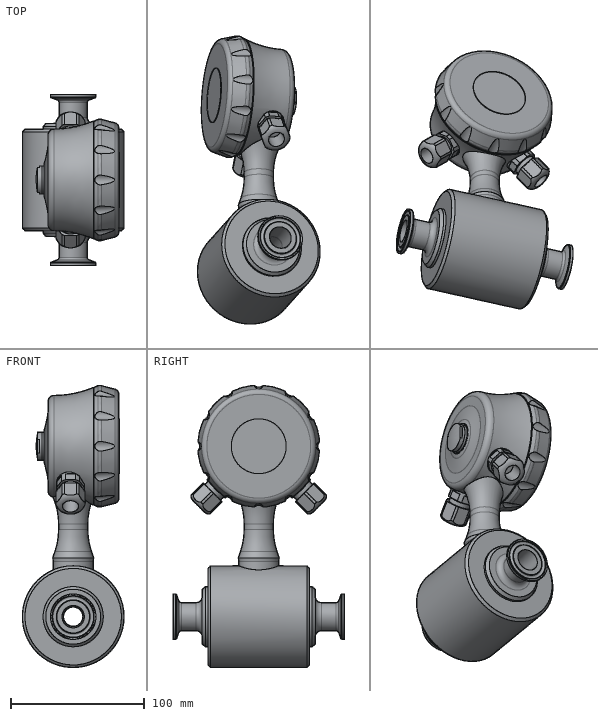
import math

import cadquery as cq

BODY_RADIUS = 76.1 / 2
BODY_HALF_LENGTH = 38.0
BODY_CHAMFER = 2.0
FLANGE_RADIUS = 45.0 / 2
FLANGE_END = 42.3
FLANGE_CHAMFER = 2.0
FLANGE_CHAMFER_LENGTH = 2.5
PIPE_RADIUS = 21.2 / 2
PIPE_ROOT_FILLET = 4.4
FERRULE_RADIUS = 34.0 / 2
FERRULE_END = 64.0
FERRULE_RIM = 2.5
FERRULE_RIM_CHAMFER = 0.5
FERRULE_BACK_ANGLE = 20.0
FERRULE_ROOT_FILLET = 2.0
GASKET_GROOVE_CENTRE = 13.95
GASKET_GROOVE_RADIUS = 1.4
GASKET_GROOVE_LIP = 0.35
BORE_RADIUS = 14.3 / 2
BORE_MOUTH_RADIUS = 16.69 / 2
BORE_MOUTH_LENGTH = 22.0

NECK_BASE_RADIUS = 30.0 / 2
NECK_WAIST_RADIUS = 11.0
NECK_FLARE_RADIUS = 50.0
NECK_BASE_TOP = 41.4
NECK_CONE_BOTTOM = 44.0
NECK_CONE_TOP = 48.6
NECK_WAIST_BOTTOM = 65.0
NECK_WAIST_TOP = 69.3
NECK_TOP = 92.0

HEAD_HEIGHT = 127.3
CASE_BACK = -18.8
CASE_RADIUS = 76.1 / 2
CASE_BACK_FILLET = 4.6
CASE_RIM_X = 15.0
CASE_RIM_RADIUS = 44.0
BACK_DISH_OUTER_RADIUS = 26.0
BACK_DISH_INNER_RADIUS = 30.0 / 2
BACK_DISH_INNER_X = -20.9
BACK_DISH_MID_RADIUS = 20.6
BACK_DISH_MID_X = -19.65
BACK_HUB_X = -21.9
PLUG_SEAT_RADIUS = 23.5 / 2
PLUG_SEAT_X = -21.0
PLUG_RADIUS = 21.2 / 2
PLUG_SHANK_RADIUS = 21.0 / 2
PLUG_SHANK_X = -23.2
PLUG_END = -26.5
PLUG_TIP = -27.75
PLUG_FLATS = 18.7
PLUG_FLATS_X = -25.2

SEAM_WIDTH = 0.6
SEAM_DEPTH = 0.4
LID_CREST_START = 18.5
LID_CREST_END = 21.3
LID_CREST_RADIUS = 45.66
LID_SHOULDER_RADIUS = 45.4
LID_TAPER_END = 31.2
LID_TAPER_END_RADIUS = 42.7
LID_FACE = 34.2
LID_PAD_RADIUS = 20.5
LID_PAD_FACE = 34.7

SCALLOP_COUNT = 12
SCALLOP_RADIUS = 4.9
SCALLOP_START = 16.8
SCALLOP_START_RADIUS = 44.2
SCALLOP_END_RADIUS = 42.75
SCALLOP_OVERRUN = 5.0

GLAND_X = -2.0
GLAND_TILT = 45.0
GLAND_START = 30.0
GLAND_HEX_START = 39.1
GLAND_HEX_END = 45.0
GLAND_NUT_START = 48.7
GLAND_NUT_END = 63.5
GLAND_BASE_RADIUS = 20.8 / 2
GLAND_BASE_FLATS = 19.5
GLAND_COLLAR_RADIUS = 16.69 / 2
GLAND_NUT_RADIUS = 22.0 / 2
GLAND_NUT_FLATS = 20.0
GLAND_NUT_CROWN_RADIUS = 5.4
GLAND_HOLE_RADIUS = 12.0 / 2


def tube_end():
    """Flange, pipe stub and ferrule at the +Y end, as one turned shape about the Y axis."""
    rim_back = FERRULE_END - FERRULE_RIM
    back_slope = math.tan(math.radians(FERRULE_BACK_ANGLE))
    back_foot = rim_back - (FERRULE_RADIUS - PIPE_RADIUS) * back_slope
    turn = math.radians(90 - FERRULE_BACK_ANGLE)
    root_tangent = FERRULE_ROOT_FILLET * math.tan(turn / 2)
    root_mid_radius = PIPE_RADIUS + FERRULE_ROOT_FILLET * (1 - math.cos(turn / 2))
    root_mid_y = back_foot - root_tangent + FERRULE_ROOT_FILLET * math.sin(turn / 2)
    root_top_radius = PIPE_RADIUS + root_tangent * math.sin(turn)
    root_top_y = back_foot + root_tangent * math.cos(turn)

    pipe_fillet_drop = PIPE_ROOT_FILLET * (1 - math.sqrt(0.5))
    groove_inner = GASKET_GROOVE_CENTRE - GASKET_GROOVE_RADIUS
    groove_outer = GASKET_GROOVE_CENTRE + GASKET_GROOVE_RADIUS
    groove_top = FERRULE_END - GASKET_GROOVE_LIP
    return (
        cq.Workplane("XY")
        .moveTo(0, BODY_HALF_LENGTH)
        .lineTo(FLANGE_RADIUS, BODY_HALF_LENGTH)
        .lineTo(FLANGE_RADIUS, FLANGE_END - FLANGE_CHAMFER_LENGTH)
        .lineTo(FLANGE_RADIUS - FLANGE_CHAMFER, FLANGE_END)
        .lineTo(PIPE_RADIUS + PIPE_ROOT_FILLET, FLANGE_END)
        .threePointArc(
            (PIPE_RADIUS + pipe_fillet_drop, FLANGE_END + pipe_fillet_drop),
            (PIPE_RADIUS, FLANGE_END + PIPE_ROOT_FILLET),
        )
        .lineTo(PIPE_RADIUS, back_foot - root_tangent)
        .threePointArc((root_mid_radius, root_mid_y), (root_top_radius, root_top_y))
        .lineTo(FERRULE_RADIUS - FERRULE_RIM_CHAMFER, rim_back - FERRULE_RIM_CHAMFER * back_slope)
        .lineTo(FERRULE_RADIUS, rim_back + FERRULE_RIM_CHAMFER)
        .lineTo(FERRULE_RADIUS, FERRULE_END)
        .lineTo(groove_outer + GASKET_GROOVE_LIP, FERRULE_END)
        .lineTo(groove_outer, groove_top)
        .threePointArc(
            (GASKET_GROOVE_CENTRE, groove_top - GASKET_GROOVE_RADIUS),
            (groove_inner, groove_top),
        )
        .lineTo(groove_inner - GASKET_GROOVE_LIP, FERRULE_END)
        .lineTo(0, FERRULE_END)
        .close()
        .revolve(360, (0, 0), (0, 1))
    )


def flow_tube():
    """Housing with the same connection on both ends."""
    housing = (
        cq.Workplane("XZ", origin=(0, BODY_HALF_LENGTH, 0))
        .circle(BODY_RADIUS)
        .extrude(2 * BODY_HALF_LENGTH)
        .edges()
        .chamfer(BODY_CHAMFER)
    )
    end = tube_end()
    return housing.union(end).union(end.mirror("XZ"))


def flow_bore():
    """Through bore of the tube, tapering inwards from both mouths."""
    return (
        cq.Workplane("XY")
        .moveTo(0, -FERRULE_END)
        .lineTo(BORE_MOUTH_RADIUS, -FERRULE_END)
        .lineTo(BORE_RADIUS, BORE_MOUTH_LENGTH - FERRULE_END)
        .lineTo(BORE_RADIUS, FERRULE_END - BORE_MOUTH_LENGTH)
        .lineTo(BORE_MOUTH_RADIUS, FERRULE_END)
        .lineTo(0, FERRULE_END)
        .close()
        .revolve(360, (0, 0), (0, 1))
    )


def flare_radius(distance):
    """Neck radius at a distance along the axis from the end of the straight waist."""
    return NECK_WAIST_RADIUS + NECK_FLARE_RADIUS - math.sqrt(NECK_FLARE_RADIUS**2 - distance**2)


def neck():
    """Column from the housing up to the head, flared at both ends."""
    lower_span = NECK_WAIST_BOTTOM - NECK_CONE_TOP
    upper_span = NECK_TOP - NECK_WAIST_TOP
    cone_slope = math.tan(math.asin(lower_span / NECK_FLARE_RADIUS))
    cone_radius = flare_radius(lower_span) + cone_slope * (NECK_CONE_TOP - NECK_CONE_BOTTOM)
    return (
        cq.Workplane("XZ")
        .lineTo(NECK_BASE_RADIUS, 0)
        .lineTo(NECK_BASE_RADIUS, NECK_BASE_TOP)
        .lineTo(cone_radius, NECK_CONE_BOTTOM)
        .lineTo(flare_radius(lower_span), NECK_CONE_TOP)
        .threePointArc(
            (flare_radius(lower_span / 2), NECK_WAIST_BOTTOM - lower_span / 2),
            (NECK_WAIST_RADIUS, NECK_WAIST_BOTTOM),
        )
        .lineTo(NECK_WAIST_RADIUS, NECK_WAIST_TOP)
        .threePointArc(
            (flare_radius(upper_span / 2), NECK_WAIST_TOP + upper_span / 2),
            (flare_radius(upper_span), NECK_TOP),
        )
        .lineTo(0, NECK_TOP)
        .close()
        .revolve(360, (0, 0), (0, 1))
    )


def head_case():
    """Case with its sealing plug and the turned lid, about the X axis."""
    fillet_end = CASE_BACK + CASE_BACK_FILLET
    fillet_drop = CASE_BACK_FILLET * (1 - math.sqrt(0.5))
    flare_length = CASE_RIM_X - fillet_end
    flare_rise = CASE_RIM_RADIUS - CASE_RADIUS
    flare_arc = (flare_length**2 + flare_rise**2) / (2 * flare_rise)
    flare_mid = CASE_RADIUS + flare_arc - math.sqrt(flare_arc**2 - (flare_length / 2) ** 2)
    dome_height = PLUG_END - PLUG_TIP
    dome_radius = (PLUG_RADIUS**2 + dome_height**2) / (2 * dome_height)
    dome_mid_x = PLUG_TIP + dome_radius - math.sqrt(dome_radius**2 - (PLUG_RADIUS / 2) ** 2)
    seam_end = CASE_RIM_X + SEAM_WIDTH
    crest_x = (LID_CREST_START + LID_CREST_END) / 2

    taper = math.atan2(LID_SHOULDER_RADIUS - LID_TAPER_END_RADIUS, LID_TAPER_END - LID_CREST_END)
    corner_arc = (LID_FACE - LID_TAPER_END) / (1 - math.sin(taper))
    corner_x = LID_FACE - corner_arc
    corner_radius = LID_TAPER_END_RADIUS - corner_arc * math.cos(taper)
    corner_mid_angle = (math.pi / 2 - taper) / 2
    corner_mid = (
        corner_x + corner_arc * math.cos(corner_mid_angle),
        corner_radius + corner_arc * math.sin(corner_mid_angle),
    )
    return (
        cq.Workplane("XY")
        .moveTo(PLUG_TIP, 0)
        .threePointArc((dome_mid_x, PLUG_RADIUS / 2), (PLUG_END, PLUG_RADIUS))
        .lineTo(PLUG_SHANK_X, PLUG_RADIUS)
        .lineTo(PLUG_SHANK_X, PLUG_SHANK_RADIUS)
        .lineTo(PLUG_SEAT_X, PLUG_SHANK_RADIUS)
        .lineTo(PLUG_SEAT_X, PLUG_SEAT_RADIUS)
        .lineTo(BACK_HUB_X, PLUG_SEAT_RADIUS)
        .lineTo(BACK_DISH_INNER_X, BACK_DISH_INNER_RADIUS)
        .threePointArc(
            (BACK_DISH_MID_X, BACK_DISH_MID_RADIUS),
            (CASE_BACK, BACK_DISH_OUTER_RADIUS),
        )
        .lineTo(CASE_BACK, CASE_RADIUS - CASE_BACK_FILLET)
        .threePointArc(
            (CASE_BACK + fillet_drop, CASE_RADIUS - fillet_drop),
            (fillet_end, CASE_RADIUS),
        )
        .threePointArc(
            (fillet_end + flare_length / 2, flare_mid),
            (CASE_RIM_X, CASE_RIM_RADIUS),
        )
        .lineTo(CASE_RIM_X, CASE_RIM_RADIUS - SEAM_DEPTH)
        .lineTo(seam_end, CASE_RIM_RADIUS - SEAM_DEPTH)
        .lineTo(seam_end, CASE_RIM_RADIUS)
        .lineTo(LID_CREST_START, LID_SHOULDER_RADIUS)
        .threePointArc((crest_x, LID_CREST_RADIUS), (LID_CREST_END, LID_SHOULDER_RADIUS))
        .lineTo(LID_TAPER_END, LID_TAPER_END_RADIUS)
        .threePointArc(corner_mid, (LID_FACE, corner_radius))
        .lineTo(LID_FACE, LID_PAD_RADIUS)
        .lineTo(LID_PAD_FACE, LID_PAD_RADIUS)
        .lineTo(LID_PAD_FACE, 0)
        .close()
        .revolve(360, (0, 0), (1, 0))
    )


def plug_flat_cuts():
    """Material removed beside the two wrench flats on the end of the plug."""
    length = PLUG_FLATS_X - PLUG_TIP
    end = cq.Workplane("YZ", origin=(PLUG_TIP, 0, 0))
    block_size = 3 * PLUG_RADIUS
    outside = end.rect(block_size, block_size).extrude(length)
    kept = end.rect(PLUG_FLATS, block_size).extrude(length)
    return outside.cut(kept)


def lid_scallops():
    """List of cutters for the sloping grooves around the lid rim, one of them at the top."""
    run = LID_TAPER_END - SCALLOP_START
    slope = math.atan2(SCALLOP_START_RADIUS - SCALLOP_END_RADIUS, run)
    direction = cq.Vector(math.cos(slope), 0, -math.sin(slope))
    offset = cq.Vector(math.sin(slope), 0, math.cos(slope)) * SCALLOP_RADIUS
    start = cq.Vector(SCALLOP_START, 0, SCALLOP_START_RADIUS) + offset - direction * SCALLOP_OVERRUN
    length = run / math.cos(slope) + 2 * SCALLOP_OVERRUN
    cutter = cq.Workplane(cq.Solid.makeCylinder(SCALLOP_RADIUS, length, start, direction))
    step = 360 / SCALLOP_COUNT
    return [cutter.rotate((0, 0, 0), (1, 0, 0), index * step) for index in range(SCALLOP_COUNT)]


def cut_to_hexagon(bar, start, end, flats):
    """Keep the part of a round bar on the Z axis that lies inside a hexagon."""
    corner_diameter = flats / math.cos(math.pi / 6)
    hexagon = cq.Workplane("XY", origin=(0, 0, start)).polygon(6, corner_diameter).extrude(end - start)
    return bar.intersect(hexagon)


def gland_nut():
    """Hexagon nut with a rounded crown that runs into its cable hole."""
    crown_width = GLAND_NUT_RADIUS - GLAND_HOLE_RADIUS

    def crown_z(distance):
        """Crown height at a radial distance outwards from the hole rim."""
        drop = GLAND_NUT_CROWN_RADIUS - math.sqrt(GLAND_NUT_CROWN_RADIUS**2 - distance**2)
        return GLAND_NUT_END - drop

    turned = (
        cq.Workplane("XZ")
        .moveTo(GLAND_HOLE_RADIUS, GLAND_NUT_START)
        .lineTo(GLAND_NUT_RADIUS, GLAND_NUT_START)
        .lineTo(GLAND_NUT_RADIUS, crown_z(crown_width))
        .threePointArc(
            (GLAND_HOLE_RADIUS + crown_width / 2, crown_z(crown_width / 2)),
            (GLAND_HOLE_RADIUS, GLAND_NUT_END),
        )
        .close()
        .revolve(360, (0, 0), (0, 1))
    )
    return cut_to_hexagon(turned, GLAND_NUT_START, GLAND_NUT_END, GLAND_NUT_FLATS)


def gland():
    """One cable gland along +Z, measured from the head axis."""
    start = cq.Workplane("XY", origin=(0, 0, GLAND_START))
    base = start.circle(GLAND_BASE_RADIUS).extrude(GLAND_HEX_START - GLAND_START)
    collar = start.circle(GLAND_COLLAR_RADIUS).extrude(GLAND_NUT_START - GLAND_START)
    hex_bar = (
        cq.Workplane("XY", origin=(0, 0, GLAND_HEX_START))
        .circle(GLAND_BASE_RADIUS)
        .extrude(GLAND_HEX_END - GLAND_HEX_START)
    )
    base_hex = cut_to_hexagon(hex_bar, GLAND_HEX_START, GLAND_HEX_END, GLAND_BASE_FLATS)
    return base.union(collar).union(base_hex).union(gland_nut())


def head():
    """Complete head with its scallops, plug flats and both glands, on the X axis."""
    shape = head_case().cut(plug_flat_cuts())
    for scallop in lid_scallops():
        shape = shape.cut(scallop)
    for side in (-1, 1):
        tilt = side * (180 - GLAND_TILT)
        placed = gland().rotate((0, 0, 0), (1, 0, 0), tilt).translate((GLAND_X, 0, 0))
        shape = shape.union(placed)
    return shape


result = (
    flow_tube()
    .union(neck())
    .cut(flow_bore())
    .union(head().translate((0, 0, HEAD_HEIGHT)))
)